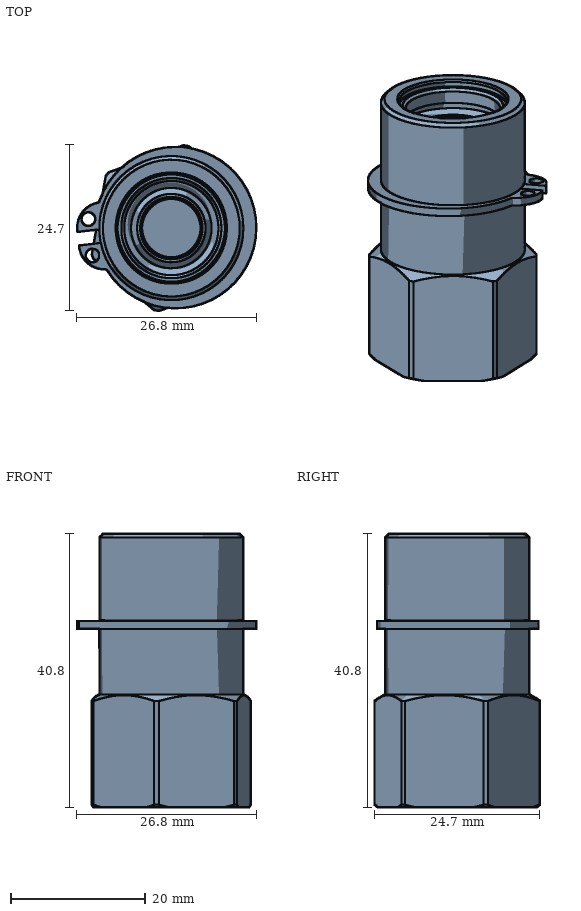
import cadquery as cq
import math

total_height = 40.8

hex_height = 16.87
hex_across_flats = 22.0
hex_corner_diameter = 25.0
hex_corner_angle = 19.9
hex_chamfer_slope = math.tan(math.radians(30.0))
hex_top_face_radius = 10.75
hex_bottom_face_radius = 11.8

body_radius = 21.5 / 2
rim_chamfer = 0.55

groove_radius = 20.0 / 2
groove_bottom_z = 26.6
groove_width = 1.3
ring_thickness = 1.2
ring_outer_radius = 24.1 / 2
ring_offset = 0.65
ring_gap = 2.0
ring_angle = 186.5
lug_radius = 3.87
lug_centre = (10.12, 1.17)
lug_hole_diameter = 2.0
lug_hole_centre = (12.13, 2.73)
lug_fillet = 0.4

mouth_radius = 16.0 / 2
mouth_chamfer = 0.3
mouth_depth = 1.0
lead_in_radius = 14.95 / 2
bore_radius = 14.05 / 2
bore_depth = 3.25

seal_section_radius = 1.25
seal_mean_radius = 7.25
seal_depth = 5.5

valve_rim_outer_radius = 5.1
valve_rim_depth = 4.4
plug_recess_radius = 4.65
plug_radius = 4.35
plug_depth = 4.6


def hex_envelope():
    """Turned envelope that rounds and chamfers the corners of the hexagon."""
    corner_radius = hex_corner_diameter / 2
    top_drop = (corner_radius - hex_top_face_radius) * hex_chamfer_slope
    bottom_rise = (corner_radius - hex_bottom_face_radius) * hex_chamfer_slope
    return (
        cq.Workplane("XZ")
        .moveTo(0, 0)
        .lineTo(hex_bottom_face_radius, 0)
        .lineTo(corner_radius, bottom_rise)
        .lineTo(corner_radius, hex_height - top_drop)
        .lineTo(hex_top_face_radius, hex_height)
        .lineTo(0, hex_height)
        .close()
        .revolve(360, (0, 0), (0, 1))
    )


def hex_base():
    """Hexagon with its corners turned down."""
    sharp_corner_diameter = hex_across_flats / math.cos(math.radians(30.0))
    prism = (
        cq.Workplane("XY")
        .polygon(6, sharp_corner_diameter)
        .extrude(hex_height)
        .rotate((0, 0, 0), (0, 0, 1), hex_corner_angle)
    )
    return prism.intersect(hex_envelope())


def round_body():
    """Turned body with the ring groove, the stepped mouth, the seal and the valve face."""
    top = total_height
    groove_top_z = groove_bottom_z + groove_width
    lead_in_depth = mouth_depth + lead_in_radius - bore_radius
    seal_z = top - seal_depth
    seal_outer_radius = seal_mean_radius + seal_section_radius
    seal_inner_radius = seal_mean_radius - seal_section_radius
    return (
        cq.Workplane("XZ")
        .moveTo(0, 0)
        .lineTo(groove_radius, 0)
        .lineTo(groove_radius, hex_height)
        .lineTo(body_radius, hex_height)
        .lineTo(body_radius, groove_bottom_z)
        .lineTo(groove_radius, groove_bottom_z)
        .lineTo(groove_radius, groove_top_z)
        .lineTo(body_radius, groove_top_z)
        .lineTo(body_radius, top - rim_chamfer)
        .lineTo(body_radius - rim_chamfer, top)
        .lineTo(mouth_radius + mouth_chamfer, top)
        .lineTo(mouth_radius, top - mouth_chamfer)
        .lineTo(mouth_radius, top - mouth_depth)
        .lineTo(lead_in_radius, top - mouth_depth)
        .lineTo(bore_radius, top - lead_in_depth)
        .lineTo(bore_radius, top - bore_depth)
        .lineTo(seal_outer_radius, top - bore_depth)
        .lineTo(seal_outer_radius, seal_z)
        .threePointArc((seal_mean_radius, seal_z + seal_section_radius), (seal_inner_radius, seal_z))
        .lineTo(valve_rim_outer_radius, top - valve_rim_depth)
        .lineTo(plug_recess_radius, top - valve_rim_depth)
        .lineTo(plug_radius, top - plug_depth)
        .lineTo(0, top - plug_depth)
        .close()
        .revolve(360, (0, 0), (0, 1))
    )


def ring_disc(radius, along, across):
    """Round plate of the ring thickness."""
    return cq.Workplane("XY").center(along, across).circle(radius).extrude(ring_thickness)


def lug_root():
    """Outer crossing point of the ring circle and a lug circle."""
    along = lug_centre[0] + ring_offset
    across = lug_centre[1]
    distance = math.hypot(along, across)
    reach = (distance**2 + ring_outer_radius**2 - lug_radius**2) / (2 * distance)
    half_chord = math.sqrt(ring_outer_radius**2 - reach**2)
    root_along = (reach * along - half_chord * across) / distance - ring_offset
    root_across = (reach * across + half_chord * along) / distance
    return root_along, root_across


def retaining_ring():
    """Eccentric ring with two drilled lugs, built with the lugs toward +X, then turned."""
    lug_along, lug_across = lug_centre
    hole_along, hole_across = lug_hole_centre
    ring = ring_disc(ring_outer_radius, -ring_offset, 0)
    for side in (1, -1):
        ring = ring.union(ring_disc(lug_radius, lug_along, side * lug_across))

    gap_length = lug_along + lug_radius
    gap = (
        cq.Workplane("XY")
        .box(gap_length, ring_gap, ring_thickness, centered=(False, True, False))
    )
    ring = ring.cut(gap)

    root_along, root_across = lug_root()
    for side in (1, -1):
        point = (root_along, side * root_across, ring_thickness / 2)
        ring = ring.edges(cq.selectors.NearestToPointSelector(point)).fillet(lug_fillet)

    ring = ring.cut(ring_disc(groove_radius, 0, 0))
    for side in (1, -1):
        ring = ring.cut(ring_disc(lug_hole_diameter / 2, hole_along, side * hole_across))
    return ring.rotate((0, 0, 0), (0, 0, 1), ring_angle).translate((0, 0, groove_bottom_z))


result = hex_base().union(round_body()).union(retaining_ring())